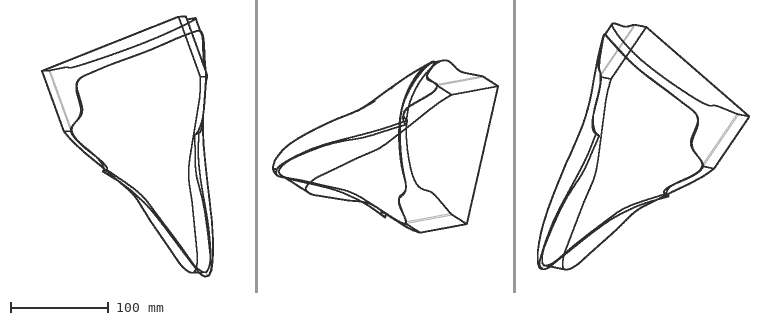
import cadquery as cq
import math

TILT = 42.5
SOLE_LENGTH = 250.1
HEEL_HEIGHT = 114.7
HEEL_HALF_WIDTH = 78.66
TAPER_U = 66.0
SIDE_HEIGHT = 24.2
SIDE_ROUND = 9.0
CLEARANCE = 40.0

HEEL_CURVE = [
    (75.2, 35.2), (72.1, 45.0), (69.5, 58.4), (72.1, 75.0),
    (67.5, 85.0), (57.0, 94.3), (37.6, 105.4), (12.0, 113.5),
]

SOLE_CURVE = [
    (74, 75.7), (92, 66.8), (110, 55.8), (128, 45.3), (146, 34.9),
    (158, 30.0), (174, 26.6), (191, 22.5), (209, 17.7), (227, 12.7), (243, 7.3),
]

SEAM_CORNER = (118.5, 4.0)
HEEL_SEAM = [
    (9.5, 118.0), (9.3, 103.3), (10.7, 93.9), (12.6, 84.5), (19.0, 75.8), (31.1, 67.5), (46.3, 57.2),
    (56.0, 41.8), (63.9, 24.8), (70.7, 18.9), (81.0, 17.2), (93.0, 19.3), (106.5, 20.1), (113.6, 15.5),
]
SKIRT_SEAM = [(135.2, 14.8), (158.0, 27.0), (176.2, 34.0), (195.9, 39.0), (217.8, 41.8), (256.0, 41.2)]

UPPER_SECTIONS = [
    (5, 0, 114.8, 95.0, 2.6),
    (18, 0, 115.4, 92.0, 2.4),
    (35, 0, 115.0, 88.0, 2.0),
    (62, 0, 111.1, 84.0, 1.3),
    (80, 0, 106.4, 78.0, 1.1),
    (97, 0, 102.0, 69.0, 1.15),
    (118, 0, 98.0, 56.0, 1.5),
    (138, 5, 94.4, 43.2, 2.3),
    (165, 20, 89.0, 31.4, 3.0),
    (195, 30, 81.4, 23.0, 3.2),
    (220, 36, 72.0, 16.2, 3.0),
    (240, 38, 60.0, 9.8, 3.0),
    (250, 38, 51.2, 6.0, 3.0),
    (254.2, 39, 45.4, 2.2, 2.5),
]
SECTION_STEPS = 8


def mirrored(points):
    """The points reflected across the plane of symmetry, in reverse order."""
    return [(-across, along) for across, along in reversed(points)]


def heel_prism():
    """The waisted heel profile, run straight along the sole."""
    crown = HEEL_CURVE + [(0, HEEL_HEIGHT)] + mirrored(HEEL_CURVE) + [(-HEEL_HALF_WIDTH, SIDE_HEIGHT)]
    prism = (
        cq.Workplane("YZ")
        .moveTo(-HEEL_HALF_WIDTH, 0)
        .lineTo(HEEL_HALF_WIDTH, 0)
        .lineTo(HEEL_HALF_WIDTH, SIDE_HEIGHT)
        .spline(crown, includeCurrent=True)
        .close()
        .extrude(SOLE_LENGTH + CLEARANCE)
    )
    side_corners = cq.selectors.BoxSelector(
        (0, -HEEL_HALF_WIDTH - CLEARANCE, SIDE_HEIGHT - SIDE_ROUND),
        (SOLE_LENGTH, HEEL_HALF_WIDTH + CLEARANCE, SIDE_HEIGHT + SIDE_ROUND),
    )
    return prism.edges("|X").edges(side_corners).fillet(SIDE_ROUND)


def sole_prism():
    """The sole outline, run straight up."""
    right_side = [(u, -half_width) for u, half_width in SOLE_CURVE]
    left_side = list(reversed(SOLE_CURVE))
    return (
        cq.Workplane("XY")
        .moveTo(0, HEEL_HALF_WIDTH)
        .lineTo(0, -HEEL_HALF_WIDTH)
        .lineTo(TAPER_U, -HEEL_HALF_WIDTH)
        .spline(right_side + [(SOLE_LENGTH, 0)] + left_side + [(TAPER_U, HEEL_HALF_WIDTH)],
                includeCurrent=True)
        .close()
        .extrude(HEEL_HEIGHT + CLEARANCE)
    )


def seam_prism():
    """Everything above and ahead of the seam, run across the full width."""
    far_u = SOLE_LENGTH + CLEARANCE
    far_v = HEEL_HEIGHT + CLEARANCE
    return (
        cq.Workplane("XZ")
        .moveTo(HEEL_SEAM[0][0], far_v)
        .lineTo(*HEEL_SEAM[0])
        .spline(HEEL_SEAM[1:] + [SEAM_CORNER], includeCurrent=True)
        .spline(SKIRT_SEAM, includeCurrent=True)
        .lineTo(far_u, SKIRT_SEAM[-1][1])
        .lineTo(far_u, far_v)
        .close()
        .extrude(HEEL_HALF_WIDTH + CLEARANCE, both=True)
    )


def upper_section(u, floor, crown, half_width, fullness):
    """An arched section: flat floor, sides that close over the crown."""
    rise = crown - floor
    side = []
    for step in range(SECTION_STEPS):
        angle = math.pi / 2 * step / SECTION_STEPS
        height = rise * math.sin(angle) ** (2 / fullness)
        side.append((half_width * math.cos(angle), floor + height))
    arch = side + [(0, crown)] + mirrored(side)
    section = cq.Workplane("YZ", origin=(u, 0, 0)).moveTo(*arch[0])
    return section.spline(arch[1:], includeCurrent=True).close().val()


def upper():
    """The arched body that carries on from the core and tapers to the toe."""
    sections = [upper_section(*section) for section in UPPER_SECTIONS]
    return cq.Workplane(cq.Solid.makeLoft(sections))


core = heel_prism().intersect(sole_prism()).cut(seam_prism())
shell = upper().intersect(seam_prism())
result = core.union(shell).rotate((0, 0, 0), (0, 1, 0), TILT)